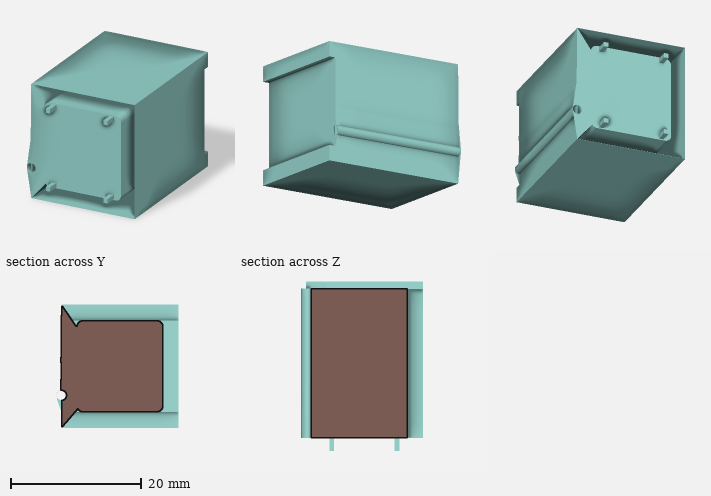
import cadquery as cq
import math

CASE_WIDTH = 18.0
CASE_DEPTH = 24.0
CASE_HEIGHT = 19.0
WALL = 0.03

CORE_WIDTH = 13.29
CORE_HEIGHT = 14.07
CORE_CORNER_RADIUS = 1.0
BACK_SLOT_DEPTH = 1.1

WEB_FOOT_ANGLE = 33

CORE_LEFT = (CASE_WIDTH - CORE_WIDTH) / 2
CORE_BOTTOM = (CASE_HEIGHT - CORE_HEIGHT) / 2
CORE_TOP = CORE_BOTTOM + CORE_HEIGHT
CORE_DEPTH = CASE_DEPTH - BACK_SLOT_DEPTH

CHANNEL_RADIUS = 0.75
CHANNEL_HEIGHT = 5.05

SWELL_CREST_HEIGHT = 10.25
SWELL_CREST = 0.1
SWELL_DIP_HEIGHT = 8.75
SWELL_DIP = 0.05
SWELL_FOOT_HEIGHT = CHANNEL_HEIGHT + CHANNEL_RADIUS
SWELL_FOOT = 0.15

PLATE_THICKNESS = 0.03
PLATE_REACH = 0.7
PLATE_TOP = 10.53
PLATE_EDGE_HALF_HEIGHT = 0.52

PIN_SIZE = 0.73
PIN_LENGTH = 2.0
PIN_SPACING_X = 10.0
PIN_SPACING_Z = 13.0


def extrude_back(outline, depth):
    """Extrude a closed XZ outline from the front plane toward +Y."""
    return outline.extrude(-depth)


def stepped_block(inset):
    """The case envelope with its back slot, shrunk by `inset` on every side but the front."""
    slot_bottom = CORE_BOTTOM - inset
    slot_top = CORE_TOP + inset
    back = CASE_DEPTH - inset
    slot_floor = CORE_DEPTH - inset
    bottom = inset
    top = CASE_HEIGHT - inset
    return (
        cq.Workplane("YZ", origin=(inset, 0, 0))
        .moveTo(0, bottom)
        .lineTo(back, bottom)
        .lineTo(back, slot_bottom)
        .lineTo(slot_floor, slot_bottom)
        .lineTo(slot_floor, slot_top)
        .lineTo(back, slot_top)
        .lineTo(back, top)
        .lineTo(0, top)
        .close()
        .extrude(CASE_WIDTH - 2 * inset)
    )


def make_shell():
    return stepped_block(0).cut(stepped_block(WALL))


def make_core():
    return (
        cq.Workplane("XY")
        .box(CORE_WIDTH, CORE_DEPTH, CORE_HEIGHT, centered=False)
        .edges("|Y")
        .fillet(CORE_CORNER_RADIUS)
        .translate((CORE_LEFT, 0, CORE_BOTTOM))
    )


def make_web():
    """Web that widens from the core to the full inner height of the left wall, from front to back."""
    angle = math.radians(WEB_FOOT_ANGLE)
    corner_x = CORE_LEFT + CORE_CORNER_RADIUS
    corner_z = CORE_BOTTOM + CORE_CORNER_RADIUS
    foot_x = corner_x - CORE_CORNER_RADIUS * math.cos(angle)
    foot_z = corner_z - CORE_CORNER_RADIUS * math.sin(angle)
    outline = (
        cq.Workplane("XZ")
        .moveTo(WALL, WALL)
        .lineTo(foot_x, foot_z)
        .lineTo(corner_x, corner_z)
        .lineTo(CORE_LEFT, CORE_TOP - CORE_CORNER_RADIUS)
        .lineTo(WALL, CASE_HEIGHT - WALL)
        .close()
    )
    return extrude_back(outline, CASE_DEPTH).intersect(stepped_block(0))


def channel_cylinder(radius):
    return extrude_back(cq.Workplane("XZ").center(0, CHANNEL_HEIGHT).circle(radius), CORE_DEPTH)


def right_of_left_wall():
    """All the space inside the left wall, as deep as the core."""
    return (
        cq.Workplane("XY")
        .box(CASE_WIDTH, CORE_DEPTH, CASE_HEIGHT, centered=False)
        .translate((WALL, 0, 0))
    )


def make_rib():
    """Thin half tube on the outside of the left wall."""
    tube = channel_cylinder(CHANNEL_RADIUS).cut(channel_cylinder(CHANNEL_RADIUS - WALL))
    return tube.cut(right_of_left_wall())


def make_swell():
    """Swelling that starts at the top of the left wall, clear of the back slot."""
    outline = (
        cq.Workplane("XZ")
        .moveTo(0, CASE_HEIGHT)
        .lineTo(-SWELL_CREST, SWELL_CREST_HEIGHT)
        .lineTo(-SWELL_DIP, SWELL_DIP_HEIGHT)
        .lineTo(-SWELL_FOOT, SWELL_FOOT_HEIGHT)
        .lineTo(-SWELL_FOOT, CHANNEL_HEIGHT)
        .lineTo(0, CHANNEL_HEIGHT)
        .close()
    )
    back_slot = (
        cq.Workplane("XY")
        .box(CHANNEL_RADIUS, BACK_SLOT_DEPTH, CORE_HEIGHT, centered=False)
        .translate((-CHANNEL_RADIUS, CORE_DEPTH, CORE_BOTTOM))
    )
    swell = extrude_back(outline, CASE_DEPTH).cut(back_slot)
    return swell.cut(channel_cylinder(CHANNEL_RADIUS))


def make_end_plate(front, bottom, top):
    """Thin plate tapering from the rib to the wall at `bottom` and `top`, around the channel."""
    outline = (
        cq.Workplane("XZ")
        .moveTo(0, bottom)
        .lineTo(-PLATE_REACH, CHANNEL_HEIGHT - PLATE_EDGE_HALF_HEIGHT)
        .lineTo(-PLATE_REACH, min(top, CHANNEL_HEIGHT + PLATE_EDGE_HALF_HEIGHT))
        .lineTo(0, top)
        .close()
    )
    plate = extrude_back(outline, PLATE_THICKNESS).cut(channel_cylinder(CHANNEL_RADIUS))
    return plate.translate((0, front, 0))


def make_case():
    bore = channel_cylinder(CHANNEL_RADIUS).intersect(right_of_left_wall())
    case = make_shell().union(make_core()).union(make_web()).cut(bore)
    front_plate = make_end_plate(0, 0, PLATE_TOP)
    back_plate = make_end_plate(CORE_DEPTH - PLATE_THICKNESS, CORE_BOTTOM, CHANNEL_HEIGHT)
    for detail in (make_swell(), make_rib(), front_plate, back_plate):
        case = case.union(detail)
    return case.solids()


def make_pin(x, z):
    return (
        cq.Workplane("XY")
        .box(PIN_SIZE, PIN_LENGTH, PIN_SIZE)
        .translate((x, -PIN_LENGTH / 2, z))
    )


case = make_case()
pins = []
for side_x in (-1, 1):
    for side_z in (-1, 1):
        pin_x = CASE_WIDTH / 2 + side_x * PIN_SPACING_X / 2
        pin_z = CASE_HEIGHT / 2 + side_z * PIN_SPACING_Z / 2
        pins.append(make_pin(pin_x, pin_z).val())

result = cq.Compound.makeCompound([case.val(), *pins])